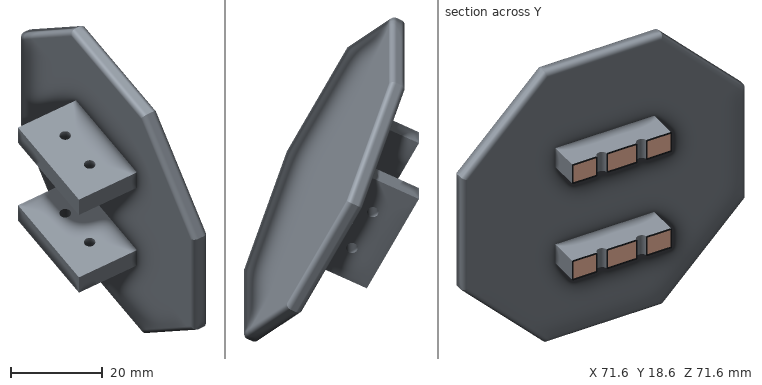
import cadquery as cq
import math

plate_width = 71.6
side_count = 8
half_side_angle = 180 / side_count
plate_thickness = 3.7
edge_radius = 1.2

tab_width = 25.0
tab_length = 14.95
tab_thickness = 5.0
tab_spacing = 25.5
hole_diameter = 2.5
hole_spacing = 10.0


def make_plate():
    """Regular octagon with flats on the X and Z sides and rounded rims."""
    corner_diameter = plate_width / math.cos(math.radians(half_side_angle))
    plate = (
        cq.Workplane("XZ")
        .transformed(rotate=(0, 0, half_side_angle))
        .polygon(side_count, corner_diameter)
        .extrude(-plate_thickness)
    )
    return plate.faces("<Y or >Y").edges().fillet(edge_radius)


def make_tab(z_center):
    """Rectangular tab with two vertical through holes."""
    return (
        cq.Workplane("XY")
        .box(tab_width, tab_length, tab_thickness)
        .faces(">Z")
        .workplane()
        .rarray(hole_spacing, 0.7, 2, 1)
        .hole(hole_diameter)
        .translate((0, -tab_length / 2, z_center))
    )


result = make_plate()
for side in (-1, 1):
    result = result.union(make_tab(side * tab_spacing / 2))